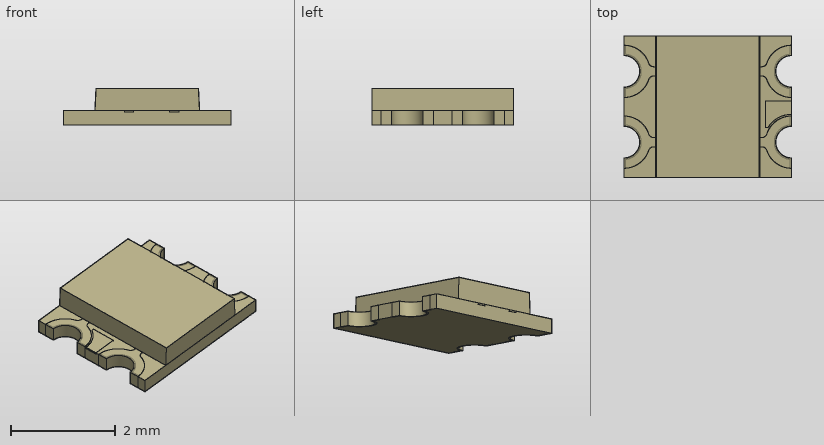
import cadquery as cq
import math

board_length = 3.2
board_width = 2.7
board_height = 0.28
total_height = 0.7

cover_foot_length = 2.0
cover_top_length = 1.96

notch_radius = 0.3
pad_radius = 0.5
neck_width = 0.175
neck_fillet = 0.1
plating = 0.03

mark_size = 0.5
mark_top_y = 0.105
mark_gap = 0.032

trace_width = 0.18
left_leg_x = -0.35
right_leg_x = 0.515
leg_length = 0.32

half_length = board_length / 2
half_width = board_width / 2
contact_y = board_width / 4
foil_floor = board_height - plating


def prism(sketch, bottom, top):
    """Extrude an XY outline between two heights."""
    return sketch.extrude(top - bottom).translate((0, 0, bottom))


def rectangle(x_min, x_max, y_min, y_max, bottom, top):
    """A box given by its limits."""
    return prism(cq.Workplane("XY").moveTo((x_min + x_max) / 2, (y_min + y_max) / 2)
                 .rect(x_max - x_min, y_max - y_min), bottom, top)


def cylinder(x, y, radius, bottom, top):
    """An upright cylinder."""
    return prism(cq.Workplane("XY").moveTo(x, y).circle(radius), bottom, top)


def pad_outline():
    """Half disc on the left board edge, blended into a neck that ends at the cover's foot.

    The contact's centre is at y = 0.
    """
    neck_y = neck_width / 2
    neck_end_x = -cover_foot_length / 2

    blend_y = neck_y + neck_fillet
    blend_distance = pad_radius + neck_fillet
    blend_x = math.sqrt(blend_distance**2 - blend_y**2)
    shrink = pad_radius / blend_distance
    touch_x = -half_length + blend_x * shrink
    touch_y = blend_y * shrink
    straight_x = -half_length + blend_x

    pad_mid_angle = (math.atan2(blend_y, blend_x) + math.pi / 2) / 2
    pad_mid_x = -half_length + pad_radius * math.cos(pad_mid_angle)
    pad_mid_y = pad_radius * math.sin(pad_mid_angle)

    blend_mid_angle = (math.atan2(-blend_y, -blend_x) - math.pi / 2) / 2
    blend_mid_x = straight_x + neck_fillet * math.cos(blend_mid_angle)
    blend_mid_y = blend_y + neck_fillet * math.sin(blend_mid_angle)

    return (
        cq.Workplane("XY")
        .moveTo(-half_length, pad_radius)
        .threePointArc((pad_mid_x, pad_mid_y), (touch_x, touch_y))
        .threePointArc((blend_mid_x, blend_mid_y), (straight_x, neck_y))
        .lineTo(neck_end_x, neck_y)
        .lineTo(neck_end_x, -neck_y)
        .lineTo(straight_x, -neck_y)
        .threePointArc((blend_mid_x, -blend_mid_y), (touch_x, -touch_y))
        .threePointArc((pad_mid_x, -pad_mid_y), (-half_length, -pad_radius))
        .close()
    )


def make_left_contact():
    """One contact: a full-height wall along the edge and notch, and a foil on top."""
    pad = prism(pad_outline(), 0, board_height)
    notch = cylinder(-half_length, 0, notch_radius, 0, board_height)
    wall_zone = cylinder(-half_length, 0, notch_radius + plating, 0, board_height).union(
        rectangle(-half_length, -half_length + plating, -pad_radius, pad_radius, 0, board_height)
    )
    wall = pad.intersect(wall_zone).cut(notch)
    foil = prism(pad_outline(), foil_floor, board_height).cut(wall_zone)
    return wall.union(foil, clean=False)


def make_contacts():
    """Four contacts, two on each X edge."""
    left_contact = make_left_contact()
    right_contact = left_contact.mirror("YZ")
    contacts = []
    for contact in (left_contact, right_contact):
        for y in (-contact_y, contact_y):
            contacts.append(contact.translate((0, y, 0)))
    return contacts


def make_mark():
    """Polarity mark, flush with the board, with a gap to the contact beside it."""
    square = rectangle(half_length - mark_size, half_length,
                       mark_top_y - mark_size, mark_top_y, foil_floor, board_height)
    clearance = cylinder(half_length, -contact_y, pad_radius + mark_gap, foil_floor, board_height)
    return square.cut(clearance)


def make_trace():
    """U-shaped trace, flush with the board, open towards the front edge."""
    outer_left = left_leg_x - trace_width / 2
    outer_right = right_leg_x + trace_width / 2
    front_y = -half_width
    leg_end_y = front_y + leg_length
    block = rectangle(outer_left, outer_right, front_y, leg_end_y + trace_width,
                      foil_floor, board_height)
    opening = rectangle(outer_left + trace_width, outer_right - trace_width, front_y, leg_end_y,
                        foil_floor, board_height)
    return block.cut(opening)


def make_board(inlays):
    """Plate with its notches and a matching recess for every inlaid body."""
    plate = rectangle(-half_length, half_length, -half_width, half_width, 0, board_height)
    for x in (-half_length, half_length):
        for y in (-contact_y, contact_y):
            plate = plate.cut(cylinder(x, y, notch_radius, 0, board_height))
    for inlay in inlays:
        plate = plate.cut(inlay)
    return plate


def make_cover():
    """Trapezoidal block on top of the board."""
    foot_x = cover_foot_length / 2
    top_x = cover_top_length / 2
    return (
        cq.Workplane("XZ")
        .polyline([(-foot_x, board_height), (foot_x, board_height),
                   (top_x, total_height), (-top_x, total_height)])
        .close()
        .extrude(half_width, both=True)
    )


contacts = make_contacts()
mark = make_mark()
trace = make_trace()
board = make_board([*contacts, mark, trace])
cover = make_cover()

bodies = [board, cover, *contacts, mark, trace]
result = cq.Compound.makeCompound([body.solids().val() for body in bodies])